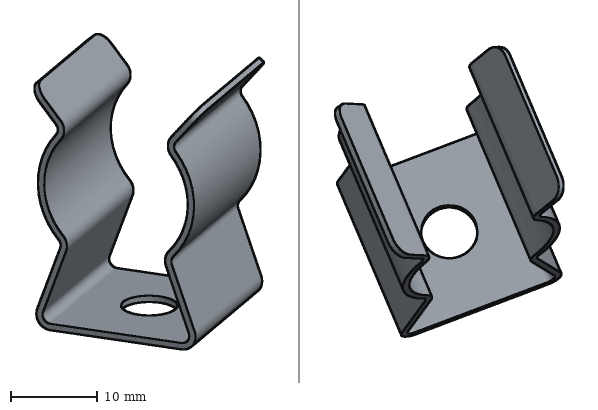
import cadquery as cq
import math

sheet = 0.8
strip_width = 20.0
clip_height = 30.0
base_width = 20.0
tight_radius = 1.0
wide_radius = tight_radius + sheet
grip_radius = 9.0
grip_height = 18.0
leg_angle = 20.0
lip_angle = 40.0
neck_angle = 39.775
lip_corner_radius = 2.0
hole_diameter = 6.5
join_tolerance = 1e-6


def polar(center, radius, angle):
    """Point at a radius and an angle in degrees around a center."""
    turn = math.radians(angle)
    return (center[0] + radius * math.cos(turn), center[1] + radius * math.sin(turn))


grip_outer_radius = grip_radius + sheet
bend_distance = grip_outer_radius + tight_radius
grip_center = (0, grip_height)
base_center = (base_width / 2 - wide_radius, wide_radius)

leg_turn = math.radians(leg_angle)
grip_to_base = base_center[0] * math.cos(leg_turn) + (base_center[1] - grip_height) * math.sin(leg_turn)
grip_to_waist = grip_to_base + wide_radius + tight_radius
waist_angle = math.degrees(math.acos(grip_to_waist / bend_distance)) - leg_angle
waist_center = polar(grip_center, bend_distance, -waist_angle)
neck_center = polar(grip_center, bend_distance, neck_angle)

lip_start_height = polar(neck_center, wide_radius, 180 - lip_angle)[1]
lip_length = (clip_height - lip_start_height) / math.cos(math.radians(lip_angle))


def face_arcs(base_radius, bend_radius, arc_radius):
    """Arcs of one sheet face from base to lip, as (center, radius, start angle, end angle)."""
    return [
        (base_center, base_radius, -90, leg_angle),
        (waist_center, bend_radius, 180 + leg_angle, 180 - waist_angle),
        (grip_center, arc_radius, -waist_angle, neck_angle),
        (neck_center, bend_radius, 180 + neck_angle, 180 - lip_angle),
    ]


def draw_arcs(outline, arcs):
    """Draw arcs one after another, with a straight line wherever there is a gap between them."""
    for center, radius, start, end in arcs:
        start_point = polar(center, radius, start)
        last_point = outline.val().endPoint()
        if math.dist(start_point, (last_point.x, last_point.z)) > join_tolerance:
            outline = outline.lineTo(*start_point)
        middle_point = polar(center, radius, (start + end) / 2)
        outline = outline.threePointArc(middle_point, polar(center, radius, end))
    return outline


def half_clip():
    """The +X half of the bent strip."""
    outer_arcs = face_arcs(wide_radius, tight_radius, grip_outer_radius)
    inner_arcs = face_arcs(tight_radius, wide_radius, grip_radius)
    inner_arcs_down = [(center, radius, end, start) for center, radius, start, end in reversed(inner_arcs)]
    lip_direction = 90 - lip_angle
    outer_lip_end = polar(polar(neck_center, tight_radius, 180 - lip_angle), lip_length, lip_direction)
    inner_lip_end = polar(polar(neck_center, wide_radius, 180 - lip_angle), lip_length, lip_direction)

    outline = cq.Workplane("XZ").lineTo(base_center[0], 0)
    outline = draw_arcs(outline, outer_arcs)
    outline = outline.lineTo(*outer_lip_end).lineTo(*inner_lip_end)
    outline = draw_arcs(outline, inner_arcs_down)
    return outline.lineTo(0, sheet).close().extrude(strip_width / 2, both=True)


def round_lip_corners(half):
    """Round the two free corners of the lip, through the sheet thickness."""
    lip_turn = math.radians(lip_angle)
    across_lip = cq.Vector(-math.cos(lip_turn), 0, math.sin(lip_turn))
    corners = half.faces(">Z").edges(cq.selectors.ParallelDirSelector(across_lip))
    return corners.fillet(lip_corner_radius)


def base_hole():
    """Mounting hole through the middle of the base."""
    return cq.Workplane("XY").circle(hole_diameter / 2).extrude(sheet)


right_half = round_lip_corners(half_clip())
clip = right_half.union(right_half.mirror("YZ")).clean()
result = clip.cut(base_hole())